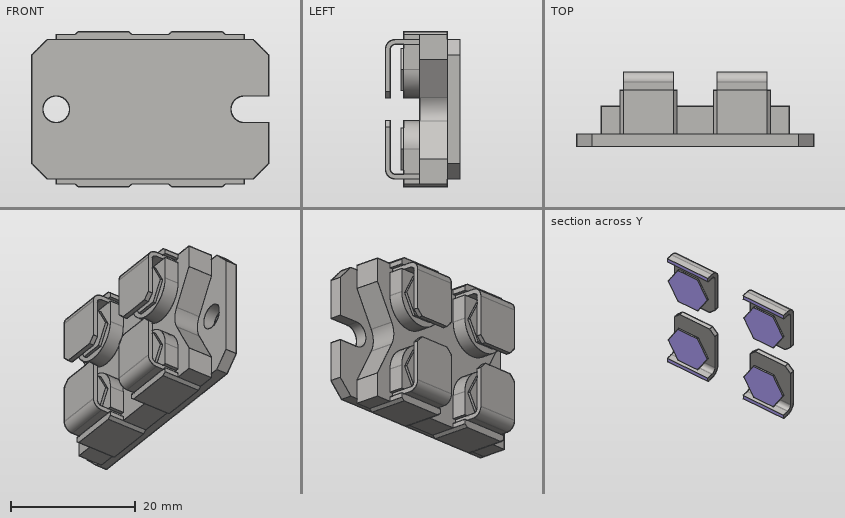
import cadquery as cq
import math


PLATE_LENGTH = 38.1
PLATE_WIDTH = 22.4
PLATE_THICKNESS = 2.05
PLATE_CHAMFER = 2.5
MOUNT_DIAMETER = 4.23
MOUNT_X = 15.1

BODY_LENGTH = 2 * MOUNT_X
BODY_WIDTH = 24.0
BODY_TOP = 6.5
RECESS_RADIUS = 3.9
RECESS_HALF_WIDTH = 7.95

POST_PITCH = 15.0
POST_WIDTH = 9.2
POST_OUTER_Z = 12.45
POST_INNER_Z = 1.8
POST_TOP = 9.05
POST_CHAMFER_X = 0.57
POST_RADIUS = POST_WIDTH / 2
POST_CENTRE_Z = POST_INNER_Z + POST_RADIUS

NUT_ACROSS_FLATS = 6.8
NUT_TOP = 9.52

TAB_WIDTH = POST_WIDTH - 2 * POST_CHAMFER_X
TAB_THICKNESS = 0.8
TAB_TOP = 12.0
TAB_OUTER_Z = PLATE_WIDTH / 2
TAB_TIP_Z = POST_INNER_Z
TAB_BEND_RADIUS = 1.6
TAB_TIP_CHAMFER = 1.05


def profile_plane(height):
    """XZ workplane at the given height along Y; local axes are X and Z."""
    return cq.Workplane("XZ", origin=(0, height, 0))


def extrude_up(sketch, height):
    """Extrude a closed XZ profile towards +Y, against the plane's own normal."""
    return sketch.extrude(-height)


def make_plate():
    """Chamfered plate with a round hole at the -X end and an open slot at the +X end."""
    plate = extrude_up(profile_plane(0).rect(PLATE_LENGTH, PLATE_WIDTH), PLATE_THICKNESS)
    plate = plate.edges("|Y").chamfer(PLATE_CHAMFER)
    holes = profile_plane(0).pushPoints([(-MOUNT_X, 0), (MOUNT_X, 0)]).circle(MOUNT_DIAMETER / 2)
    plate = plate.cut(extrude_up(holes, PLATE_THICKNESS))
    slot_length = PLATE_LENGTH / 2 - MOUNT_X
    slot = profile_plane(0).center(MOUNT_X + slot_length / 2, 0).rect(slot_length, MOUNT_DIAMETER)
    return plate.cut(extrude_up(slot, PLATE_THICKNESS))


def make_end_recess():
    """Funnel at the +X end of the body: an arc around the mounting position with two tangent flanks."""
    tangent_angle = math.asin(RECESS_RADIUS / RECESS_HALF_WIDTH)
    tangent_x = MOUNT_X - RECESS_RADIUS * math.cos(tangent_angle)
    tangent_z = RECESS_RADIUS * math.sin(tangent_angle)
    outline = (
        profile_plane(PLATE_THICKNESS)
        .moveTo(MOUNT_X, RECESS_HALF_WIDTH)
        .lineTo(tangent_x, tangent_z)
        .threePointArc((MOUNT_X - RECESS_RADIUS, 0), (tangent_x, -tangent_z))
        .lineTo(MOUNT_X, -RECESS_HALF_WIDTH)
        .close()
    )
    return extrude_up(outline, BODY_TOP - PLATE_THICKNESS)


def make_body():
    block = profile_plane(PLATE_THICKNESS).rect(BODY_LENGTH, BODY_WIDTH)
    body = extrude_up(block, BODY_TOP - PLATE_THICKNESS)
    recess = make_end_recess()
    return body.cut(recess).cut(recess.mirror("YZ"))


def make_post():
    """Post on the +Z side: chamfered outer end, round inner end, slot for the tab."""
    shoulder_z = BODY_WIDTH / 2
    outline = (
        profile_plane(PLATE_THICKNESS)
        .moveTo(-POST_RADIUS, POST_CENTRE_Z)
        .threePointArc((0, POST_INNER_Z), (POST_RADIUS, POST_CENTRE_Z))
        .lineTo(POST_RADIUS, shoulder_z)
        .lineTo(POST_RADIUS - POST_CHAMFER_X, POST_OUTER_Z)
        .lineTo(POST_CHAMFER_X - POST_RADIUS, POST_OUTER_Z)
        .lineTo(-POST_RADIUS, shoulder_z)
        .close()
    )
    post = extrude_up(outline, POST_TOP - PLATE_THICKNESS)
    slot_centre_z = TAB_OUTER_Z - TAB_THICKNESS / 2
    slot = profile_plane(BODY_TOP).center(0, slot_centre_z).rect(POST_WIDTH, TAB_THICKNESS)
    return post.cut(extrude_up(slot, POST_TOP - BODY_TOP))


def make_nut():
    corner_diameter = NUT_ACROSS_FLATS / math.cos(math.radians(30))
    hexagon = profile_plane(POST_TOP).center(0, POST_CENTRE_Z).polygon(6, corner_diameter)
    return extrude_up(hexagon, NUT_TOP - POST_TOP)


def make_tab():
    """L-shaped strip rising out of the post and folding over the nut."""
    inner_z = TAB_OUTER_Z - TAB_THICKNESS
    under_y = TAB_TOP - TAB_THICKNESS
    tab = (
        cq.Workplane("YZ")
        .moveTo(BODY_TOP, inner_z)
        .lineTo(BODY_TOP, TAB_OUTER_Z)
        .lineTo(TAB_TOP, TAB_OUTER_Z)
        .lineTo(TAB_TOP, TAB_TIP_Z)
        .lineTo(under_y, TAB_TIP_Z)
        .lineTo(under_y, inner_z)
        .close()
        .extrude(TAB_WIDTH / 2, both=True)
    )
    tab = tab.edges("|X and >Y and >Z").fillet(TAB_BEND_RADIUS)
    inner_corner = cq.selectors.NearestToPointSelector((0, under_y, inner_z))
    tab = tab.edges(inner_corner).fillet(TAB_BEND_RADIUS - TAB_THICKNESS)
    return tab.faces("<Z").edges("|Y").chamfer(TAB_TIP_CHAMFER)


def make_terminal():
    return make_post().union(make_nut()).union(make_tab())


result = make_plate().union(make_body())
terminal = make_terminal()
for side_x in (-1, 1):
    placed = terminal.translate((side_x * POST_PITCH / 2, 0, 0))
    result = result.union(placed).union(placed.mirror("XY"))